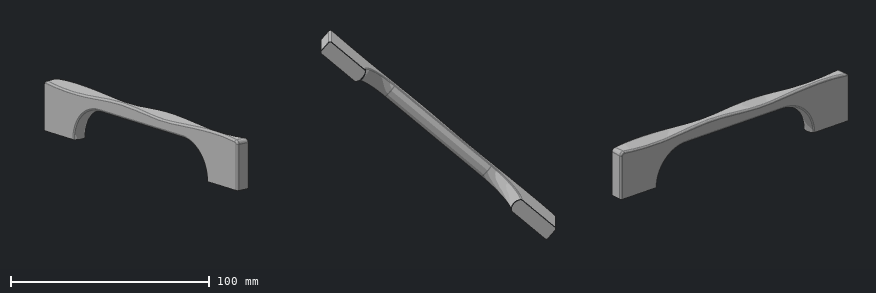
import cadquery as cq

length = 150.0
depth = 8.0
edge_round = 1.0
end_round = 2.1

wave_heights = [
    (0.0, 26.5),
    (18.0, 24.8),
    (30.0, 24.9),
    (60.0, 27.5),
    (90.0, 25.0),
    (120.0, 27.3),
    (132.0, 27.8),
    (length, 26.0),
]

opening_crown_radius = 18.0
opening_bulge = 1.6
opening_half_width = 50.0
opening_corner_x = opening_half_width - opening_crown_radius
opening_face_radius = opening_crown_radius + opening_bulge


def face_outline(direction, y):
    """Closed outline of one long face; direction is the sense in which the wave runs along X."""
    wave = [(direction * (along - length / 2), height) for along, height in wave_heights]
    start_x = wave[0][0]
    end_x = wave[-1][0]
    if direction < 0:
        wave.reverse()
        start_x, end_x = end_x, start_x
    plane = cq.Plane(origin=(0, y, 0), xDir=(1, 0, 0), normal=(0, -1, 0))
    outline = cq.Workplane(plane).moveTo(start_x, 0).lineTo(*wave[0])
    outline = outline.spline(wave[1:], includeCurrent=True).lineTo(end_x, 0).close()
    return outline.val()


def make_body():
    """Bar whose top is a twisting surface ruled between the front and back waves."""
    front = face_outline(1, -depth / 2)
    back = face_outline(-1, depth / 2)
    return cq.Workplane(cq.Solid.makeLoft([front, back], True))


def opening_section(plane):
    """Section from the floor to the bulged inner surface; local X is height, local Y is depth."""
    return (
        cq.Workplane(plane)
        .moveTo(0, -depth / 2)
        .lineTo(opening_face_radius, -depth / 2)
        .threePointArc((opening_crown_radius, 0), (opening_face_radius, depth / 2))
        .lineTo(0, depth / 2)
        .close()
    )


def make_opening():
    """Straight middle run with the same section revolved at each corner."""
    run_start = cq.Plane(origin=(-opening_corner_x, 0, 0), xDir=(0, 0, 1), normal=(-1, 0, 0))
    opening = opening_section(run_start).extrude(-2 * opening_corner_x)
    for side in (-1, 1):
        corner = cq.Plane(origin=(side * opening_corner_x, 0, 0), xDir=(side, 0, 0), normal=(0, 0, side))
        opening = opening.union(opening_section(corner).revolve(360, (0, 0, 0), (0, 1, 0)))
    return opening


def round_end_tops(body):
    """Round the upper edge of each end face."""
    end_edges = body.faces("<X or >X").edges().vals()
    top_edges = [edge for edge in end_edges if edge.BoundingBox().zmin > opening_face_radius]
    return body.newObject(top_edges).fillet(end_round)


def round_face_edges(body):
    """Round every edge of the front and back faces except the sharp ones on the floor."""
    face_edges = body.faces("<Y or >Y").edges().vals()
    rounded_edges = [edge for edge in face_edges if edge.BoundingBox().zmax > edge_round]
    return body.newObject(rounded_edges).fillet(edge_round)


handle = round_end_tops(make_body())
handle = handle.cut(make_opening())
result = round_face_edges(handle)